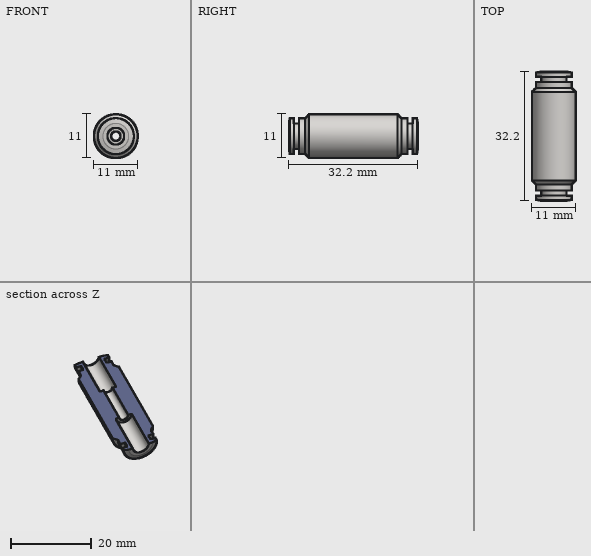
import cadquery as cq

body_radius = 5.5
collar_radius = 4.5
groove_radius = 3.2
end_face_radius = groove_radius
tube_bore_radius = 2.1
through_bore_radius = 1.15

total_length = 32.2
end_cone_length = 0.25
release_collar_length = 1.05
groove_width = 1.25
shoulder_length = 1.55
body_chamfer = body_radius - collar_radius
tube_bore_depth = 11.0

half_length = total_length / 2
cone_start = half_length - end_cone_length
groove_outer = cone_start - release_collar_length
groove_inner = groove_outer - groove_width
shoulder_start = groove_inner - shoulder_length
body_end = shoulder_start - body_chamfer
tube_stop = half_length - tube_bore_depth


def make_union():
    """Revolve the full wall profile, both ends and bores included, about the Y axis."""
    far_end = [
        (body_radius, body_end),
        (collar_radius, shoulder_start),
        (collar_radius, groove_inner),
        (groove_radius, groove_inner),
        (groove_radius, groove_outer),
        (collar_radius, groove_outer),
        (collar_radius, cone_start),
        (end_face_radius, half_length),
        (tube_bore_radius, half_length),
        (tube_bore_radius, tube_stop),
        (through_bore_radius, tube_stop),
    ]
    near_end = [(radius, -y) for radius, y in reversed(far_end)]
    profile = cq.Workplane("XY").polyline(far_end + near_end).close()
    return profile.revolve(360, (0, 0, 0), (0, 1, 0))


result = make_union()